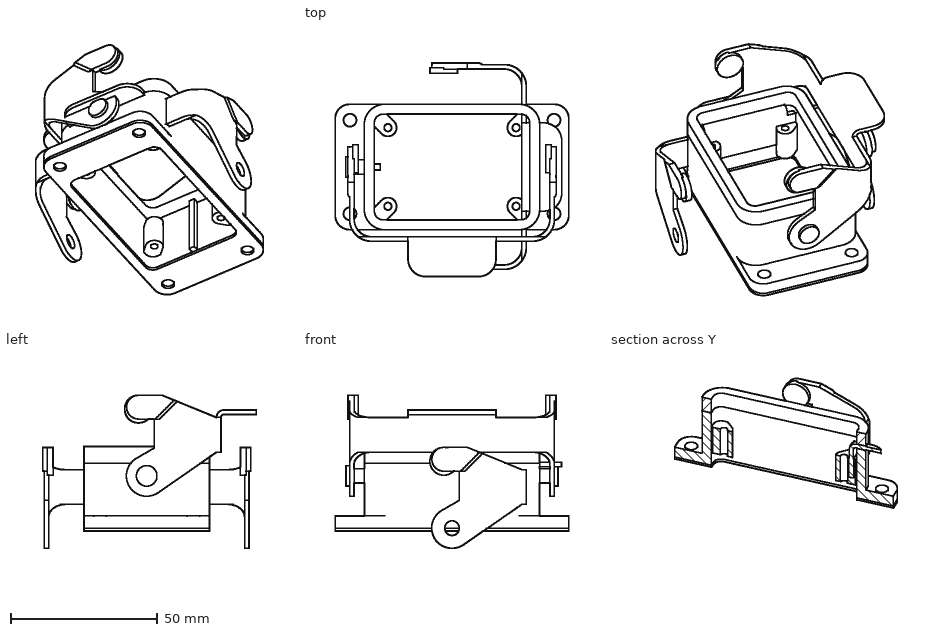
import cadquery as cq
import math

FLANGE_LENGTH = 80.0
FLANGE_RADIUS = 5.0
BODY_LENGTH = 60.0
BODY_WIDTH = 43.0
BODY_RADIUS = 7.0
WALL = 3.4
OPENING_LENGTH = BODY_LENGTH - 2 * WALL
OPENING_WIDTH = BODY_WIDTH - 2 * WALL
OPENING_RADIUS = 3.0

GASKET_TOP = 1.0
FLANGE_TOP = 5.2
HOUSING_TOP = 23.2
FRAME_TOP = 29.0

MOUNT_HOLE_DIAMETER = 4.3
MOUNT_HOLE_X = 34.9
MOUNT_HOLE_Y = 16.0

BOSS_X = 21.9
BOSS_Y = 13.4
BOSS_DIAMETER = 6.0
BOSS_HOLE_DIAMETER = 2.5
BOSS_BOTTOM = 6.2
BOSS_TOP = 17.2

RIB_SIZE = 2.1

SHEET = 1.6
WEB_OUTER = 25.4
WEB_INNER = WEB_OUTER - SHEET
WEB_BOTTOM = 8.1
WEB_TOP = 20.0
ARM_OUTER = 35.0
BEND_RADIUS = 7.5

EYE_RADIUS = 7.0
PIVOT_HOLE_DIAMETER = 5.0
NECK_ANGLE = math.radians(30)
NECK_X = 2.6

PAD_TOP = 27.6
PAD_RADIUS = 4.1
PAD_X = -2.8
PAD_FLAT_END = 5.3

STEP_HEIGHT = 0.6
STEP_WIDTH = 1.0
STEP_START_X = 4.4

BUTTON_DIAMETER = 9.5
BUTTON_THICKNESS = 2.0

TAB_WIDTH = 30.2
TAB_END = 37.5
TAB_CORNER_RADIUS = 6.1
TAB_BEND_RADIUS = 1.0

FRONT_LEVER_Z = 18.9
SIDE_LEVER_Z = GASKET_TOP

RIVET_DIAMETER = PIVOT_HOLE_DIAMETER
RIVET_HEAD_DIAMETER = 7.0
RIVET_HEAD_THICKNESS = 1.3


def rounded_block(length, width, radius, bottom, top):
    """Block with rounded upright edges, centred on Z."""
    block = cq.Workplane("XY").workplane(offset=bottom).rect(length, width).extrude(top - bottom)
    return block.edges("|Z").fillet(radius)


def opening(bottom, top):
    return rounded_block(OPENING_LENGTH, OPENING_WIDTH, OPENING_RADIUS, bottom, top)


def mount_holes(height):
    return (
        cq.Workplane("XY")
        .rect(2 * MOUNT_HOLE_X, 2 * MOUNT_HOLE_Y, forConstruction=True)
        .vertices()
        .circle(MOUNT_HOLE_DIAMETER / 2)
        .extrude(height)
    )


def make_gasket():
    plate = rounded_block(FLANGE_LENGTH, BODY_WIDTH, FLANGE_RADIUS, 0, GASKET_TOP)
    return plate.cut(opening(0, GASKET_TOP)).cut(mount_holes(GASKET_TOP))


def make_frame():
    block = rounded_block(BODY_LENGTH, BODY_WIDTH, BODY_RADIUS, HOUSING_TOP, FRAME_TOP)
    return block.cut(opening(HOUSING_TOP, FRAME_TOP))


def corner_boss(side_x, side_y):
    """Boss whose parallel flanks run at 45 degrees into the housing corner."""
    reach = BODY_LENGTH / 2 - WALL / 2 - BOSS_X
    height = BOSS_TOP - BOSS_BOTTOM
    post = cq.Workplane("XY").circle(BOSS_DIAMETER / 2).extrude(height)
    bridge = cq.Workplane("XY").rect(reach, BOSS_DIAMETER).extrude(height).translate((reach / 2, 0, 0))
    hole = cq.Workplane("XY").circle(BOSS_HOLE_DIAMETER / 2).extrude(height)
    angle = math.degrees(math.atan2(side_y, side_x))
    boss = post.union(bridge).cut(hole).rotate((0, 0, 0), (0, 0, 1), angle)
    return boss.translate((side_x * BOSS_X, side_y * BOSS_Y, BOSS_BOTTOM))


def make_housing():
    flange = rounded_block(FLANGE_LENGTH, BODY_WIDTH, FLANGE_RADIUS, GASKET_TOP, FLANGE_TOP)
    walls = rounded_block(BODY_LENGTH, BODY_WIDTH, BODY_RADIUS, GASKET_TOP, HOUSING_TOP)
    housing = flange.cut(mount_holes(FLANGE_TOP)).union(walls).cut(opening(GASKET_TOP, HOUSING_TOP))
    for side_x in (-1, 1):
        for side_y in (-1, 1):
            housing = housing.union(corner_boss(side_x, side_y))
    rib = cq.Workplane("XY").box(
        RIB_SIZE, RIB_SIZE, HOUSING_TOP - GASKET_TOP, centered=(False, True, False)
    )
    return housing.union(rib.translate((-OPENING_LENGTH / 2, 0, GASKET_TOP)))


def lever_outline(depth):
    """Side outline of a lever, extruded to both sides of the XZ plane."""
    corner_distance = math.hypot(WEB_INNER, WEB_BOTTOM)
    lower_angle = math.atan2(WEB_BOTTOM, WEB_INNER) + math.asin(EYE_RADIUS / corner_distance)
    lower_x = EYE_RADIUS * math.sin(lower_angle)
    lower_z = -EYE_RADIUS * math.cos(lower_angle)
    neck_start_x = -EYE_RADIUS * math.sin(NECK_ANGLE)
    neck_start_z = EYE_RADIUS * math.cos(NECK_ANGLE)
    neck_z = neck_start_z + (NECK_X - neck_start_x) * math.tan(NECK_ANGLE)
    pad_bottom = PAD_TOP - 2 * PAD_RADIUS
    return (
        cq.Workplane("XZ")
        .moveTo(lower_x, lower_z)
        .lineTo(WEB_INNER, WEB_BOTTOM)
        .lineTo(WEB_OUTER, WEB_BOTTOM)
        .lineTo(WEB_OUTER, WEB_TOP)
        .lineTo(WEB_INNER, WEB_TOP)
        .lineTo(PAD_FLAT_END, PAD_TOP)
        .lineTo(PAD_X, PAD_TOP)
        .threePointArc((PAD_X - PAD_RADIUS, PAD_TOP - PAD_RADIUS), (PAD_X, pad_bottom))
        .lineTo(NECK_X, pad_bottom)
        .lineTo(NECK_X, neck_z)
        .lineTo(neck_start_x, neck_start_z)
        .threePointArc((-EYE_RADIUS, 0), (lower_x, lower_z))
        .close()
        .extrude(depth, both=True)
    )


def bent_strip():
    """U-shaped strip, tall enough to hold the whole side outline."""
    back = -2 * EYE_RADIUS
    strip_bottom = -2 * EYE_RADIUS
    strip_height = PAD_TOP - 2 * strip_bottom

    def plan(outer_x, outer_y, radius):
        block = cq.Workplane("XY").box(
            outer_x - back, 2 * outer_y, strip_height, centered=(False, True, False)
        )
        return block.edges("|Z and >X").fillet(radius).translate((back, 0, strip_bottom))

    outside = plan(WEB_OUTER, ARM_OUTER, BEND_RADIUS)
    return outside.cut(plan(WEB_INNER, ARM_OUTER - SHEET, BEND_RADIUS - SHEET))


def stepped_pad():
    """Extra thickness on the outer face of the +Y arm tip, ending in a ramp."""
    pad_bottom = PAD_TOP - 2 * PAD_RADIUS
    length = 4 * BUTTON_DIAMETER
    ramp_plane = cq.Plane(
        origin=(STEP_START_X, ARM_OUTER, pad_bottom), xDir=(-1, 0, 1), normal=(-1, 0, -1)
    )
    step = (
        cq.Workplane(ramp_plane)
        .polyline([(0, 0), (STEP_WIDTH, STEP_HEIGHT), (length, STEP_HEIGHT), (length, 0)])
        .close()
        .extrude(length, both=True)
    )
    tip_zone = cq.Workplane("XY").box(2 * length, 4 * ARM_OUTER, length, centered=(True, True, False))
    step = step.intersect(tip_zone.translate((0, 0, pad_bottom)))
    return step.intersect(lever_outline(ARM_OUTER + STEP_HEIGHT))


def locking_button():
    """Round button on the inner side of the +Y arm tip."""
    outer_y = ARM_OUTER + STEP_HEIGHT - SHEET
    button = cq.Workplane("XZ").circle(BUTTON_DIAMETER / 2).extrude(BUTTON_THICKNESS)
    return button.translate((PAD_X, outer_y, PAD_TOP - BUTTON_DIAMETER / 2))


def finger_tab():
    """Tab bent outward from the upper edge of the web."""
    outer_bend = TAB_BEND_RADIUS + SHEET
    bend_x = WEB_OUTER + TAB_BEND_RADIUS
    tab_top = WEB_TOP + outer_bend
    diagonal = math.sqrt(0.5)
    tab = (
        cq.Workplane("XZ")
        .moveTo(WEB_INNER, WEB_TOP)
        .threePointArc(
            (bend_x - outer_bend * diagonal, WEB_TOP + outer_bend * diagonal), (bend_x, tab_top)
        )
        .lineTo(TAB_END, tab_top)
        .lineTo(TAB_END, tab_top - SHEET)
        .lineTo(bend_x, tab_top - SHEET)
        .threePointArc(
            (bend_x - TAB_BEND_RADIUS * diagonal, WEB_TOP + TAB_BEND_RADIUS * diagonal),
            (WEB_OUTER, WEB_TOP),
        )
        .close()
        .extrude(TAB_WIDTH / 2, both=True)
    )
    return tab.edges("|Z and >X").fillet(TAB_CORNER_RADIUS)


def make_lever():
    lever = bent_strip().intersect(lever_outline(ARM_OUTER))
    for tip_part in (stepped_pad(), locking_button()):
        lever = lever.union(tip_part).union(tip_part.mirror("XZ"))
    pivot_hole = cq.Workplane("XZ").circle(PIVOT_HOLE_DIAMETER / 2).extrude(ARM_OUTER, both=True)
    return lever.union(finger_tab()).cut(pivot_hole)


def make_rivet(side):
    """Headed rivet from the housing wall out through the front lever's arm."""
    shank_length = ARM_OUTER - BODY_LENGTH / 2
    rivet = (
        cq.Workplane("YZ")
        .circle(RIVET_DIAMETER / 2)
        .extrude(shank_length)
        .faces(">X")
        .workplane()
        .circle(RIVET_HEAD_DIAMETER / 2)
        .extrude(RIVET_HEAD_THICKNESS)
        .translate((BODY_LENGTH / 2, 0, FRONT_LEVER_Z))
    )
    return rivet if side > 0 else rivet.mirror("YZ")


side_lever = make_lever().translate((0, 0, SIDE_LEVER_Z))
front_lever = make_lever().rotate((0, 0, 0), (0, 0, 1), -90).translate((0, 0, FRONT_LEVER_Z))
front_lever = front_lever.cut(side_lever)
gasket = make_gasket()
housing = make_housing().cut(side_lever)
frame = make_frame().cut(side_lever)
rivets = [make_rivet(side).cut(side_lever) for side in (-1, 1)]

result = cq.Compound.makeCompound(
    [
        *gasket.solids().vals(),
        *housing.solids().vals(),
        *frame.solids().vals(),
        *side_lever.solids().vals(),
        *front_lever.solids().vals(),
        *[rivet.solids().val() for rivet in rivets],
    ]
)